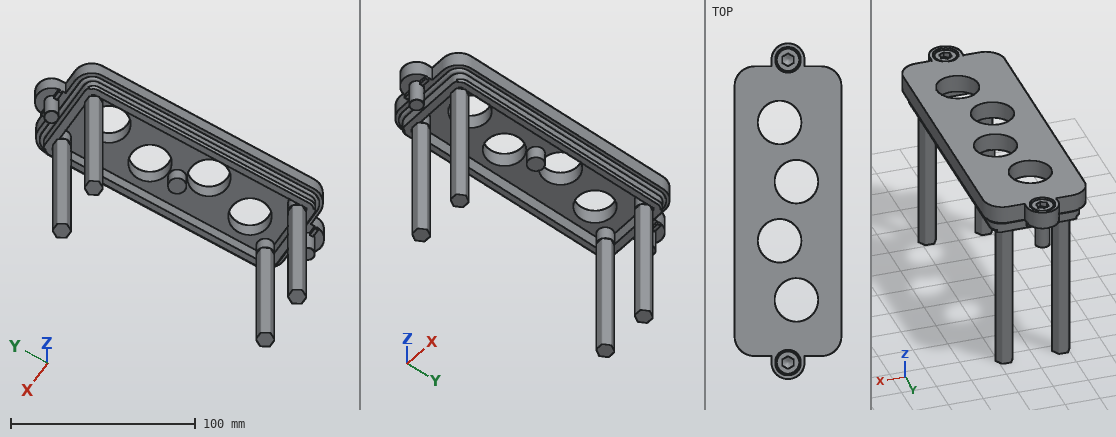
import cadquery as cq
import math


overall_length = 182.0
overall_height = 105.0
plate_width = 58.0
plate_length = 157.0
plate_thickness = 10.0
plate_corner_radius = 11.0
tab_width = 18.0

hole_diameter = 23.5
hole_pitch = 32.0
hole_stagger = 4.5
hole_count = 4

skirt_width = 51.3
skirt_length = 146.9
skirt_bottom_depth = 18.7
skirt_corner_radius = 5.6
skirt_wall = 4.7
skirt_chamfer_run = 1.1
skirt_chamfer_rise = 1.5
square_end_width = 45.5

gasket_width = 54.6
gasket_length = 152.5
gasket_cord_radius = 1.5
gasket_corner_radius = 8.5
gasket_centre_depth = plate_thickness + 1.1

screw_y = (overall_length - tab_width) / 2
screw_diameter = 8.0
screw_end_depth = 25.3
screw_tip_chamfer = 0.2
counterbore_diameter = 14.0
counterbore_depth = 8.0
head_diameter = 12.7
head_top_depth = 0.5
head_edge_chamfer = 0.4
socket_across_flats = 6.0
socket_depth = 2.5
socket_point_angle = 120.0

rib_thickness = 2.2
rib_height = 2.2

post_x = 16.2
post_y = 65.2
post_across_flats = 9.0
post_edge_radius = 1.0
boss_diameter = 10.0
middle_boss_x = 4.4
middle_boss_y = -1.3


def hexagon_corner_diameter(across_flats):
    return across_flats / math.cos(math.radians(30))


def rounded_block(width, length, corner_radius, top_depth, bottom_depth):
    """Upright block with rounded corners between two depths."""
    return (
        cq.Workplane("XY", origin=(0, 0, -bottom_depth))
        .rect(width, length)
        .extrude(bottom_depth - top_depth)
        .edges("|Z")
        .fillet(corner_radius)
    )


def upright_cylinders(points, diameter, top_depth, bottom_depth):
    """Vertical cylinders at the given (x, y) points between two depths."""
    return (
        cq.Workplane("XY", origin=(0, 0, -bottom_depth))
        .pushPoints(points)
        .circle(diameter / 2)
        .extrude(bottom_depth - top_depth)
    )


def plate_with_tabs():
    plate = rounded_block(plate_width, plate_length, plate_corner_radius, 0, plate_thickness)
    tabs = (
        cq.Workplane("XY", origin=(0, 0, -plate_thickness))
        .slot2D(overall_length, tab_width, 90)
        .extrude(plate_thickness)
    )
    return plate.union(tabs)


def cable_holes():
    middle = (hole_count - 1) / 2
    centres = [
        ((-1) ** i * hole_stagger, (i - middle) * hole_pitch)
        for i in range(hole_count)
    ]
    return upright_cylinders(centres, hole_diameter, 0, plate_thickness)


def skirt():
    """Frame whose lower edge is chamfered along the sides and corners but square across the ends."""
    frame = rounded_block(
        skirt_width, skirt_length, skirt_corner_radius, plate_thickness, skirt_bottom_depth
    )
    square_middle = frame.intersect(
        cq.Workplane("XY").box(square_end_width, skirt_length, 2 * skirt_bottom_depth)
    )
    chamfered = frame.faces("<Z").chamfer(skirt_chamfer_rise, skirt_chamfer_run)
    opening = rounded_block(
        skirt_width - 2 * skirt_wall,
        skirt_length - 2 * skirt_wall,
        skirt_corner_radius - skirt_wall,
        plate_thickness,
        skirt_bottom_depth,
    )
    return chamfered.union(square_middle).cut(opening)


def posts():
    return (
        cq.Workplane("XY", origin=(0, 0, -overall_height))
        .rect(2 * post_x, 2 * post_y, forConstruction=True)
        .vertices()
        .polygon(6, hexagon_corner_diameter(post_across_flats))
        .extrude(overall_height - plate_thickness)
        .edges("|Z")
        .fillet(post_edge_radius)
    )


def bosses():
    """A round boss around the root of each post, and one between the two middle holes."""
    centres = [(x, y) for x in (-post_x, post_x) for y in (-post_y, post_y)]
    centres.append((middle_boss_x, middle_boss_y))
    return upright_cylinders(centres, boss_diameter, plate_thickness, skirt_bottom_depth)


def tab_ribs():
    return (
        cq.Workplane("XY", origin=(0, 0, -plate_thickness - rib_height))
        .pushPoints([(0, -screw_y), (0, screw_y)])
        .rect(tab_width, rib_thickness)
        .extrude(rib_height)
    )


def key_socket(y):
    """Hexagonal key socket with a conical bottom."""
    corner_diameter = hexagon_corner_diameter(socket_across_flats)
    corner_radius = corner_diameter / 2
    point_height = corner_radius / math.tan(math.radians(socket_point_angle / 2))
    wall_end_depth = head_top_depth + socket_depth
    hexagon = (
        cq.Workplane("XY", origin=(0, y, 0))
        .transformed(rotate=(0, 0, 30))
        .polygon(6, corner_diameter)
        .extrude(-wall_end_depth - point_height)
    )
    drill_body = upright_cylinders([(0, y)], corner_diameter, 0, wall_end_depth)
    drill_point = cq.Solid.makeCone(
        corner_radius, 0, point_height, cq.Vector(0, y, -wall_end_depth), cq.Vector(0, 0, -1)
    )
    return hexagon.intersect(drill_body.union(cq.Workplane(drill_point)))


def screw(y):
    """Cap screw that is one piece with the cover."""
    head = upright_cylinders([(0, y)], head_diameter, head_top_depth, counterbore_depth)
    head = head.faces(">Z").chamfer(head_edge_chamfer)
    shank = upright_cylinders([(0, y)], screw_diameter, counterbore_depth, screw_end_depth)
    shank = shank.faces("<Z").chamfer(screw_tip_chamfer)
    return head.union(shank).cut(key_socket(y))


def gasket_ring():
    """Round cord swept along a rounded rectangle."""
    path = (
        rounded_block(
            gasket_width - 2 * gasket_cord_radius,
            gasket_length - 2 * gasket_cord_radius,
            gasket_corner_radius - gasket_cord_radius,
            0,
            gasket_centre_depth,
        )
        .faces("<Z")
        .wires()
        .val()
    )
    section = cq.Plane(path.startPoint(), xDir=(0, 0, 1), normal=path.tangentAt(0))
    return cq.Workplane(section).circle(gasket_cord_radius).sweep(cq.Workplane(path))


def cover_body(gasket):
    """Plate, skirt, posts and screws in one piece, grooved for the gasket."""
    body = plate_with_tabs().cut(cable_holes())
    for feature in (skirt(), bosses(), posts(), tab_ribs()):
        body = body.union(feature)
    for y in (-screw_y, screw_y):
        counterbore = upright_cylinders([(0, y)], counterbore_diameter, 0, counterbore_depth)
        body = body.cut(counterbore).union(screw(y))
    return body.cut(gasket)


gasket = gasket_ring()
cover = cover_body(gasket)

result = cq.Compound.makeCompound([*cover.solids().vals(), gasket.val()])